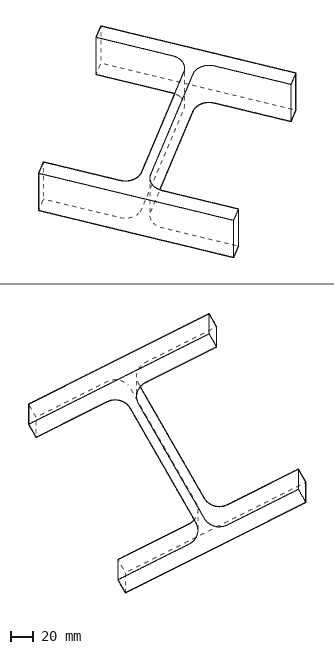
import cadquery as cq

flange_width = 180.0
section_depth = 180.0
beam_length = 50.0
flange_thickness = 14.0
web_thickness = 8.5
root_radius = 15.0

web = cq.Workplane("XY").box(web_thickness, section_depth, beam_length)

flange_offset = (section_depth - flange_thickness) / 2
flanges = (
    cq.Workplane("XY")
    .pushPoints([(0, -flange_offset), (0, flange_offset)])
    .box(flange_width, flange_thickness, beam_length)
)
beam = web.union(flanges)

root_x = web_thickness / 2
root_y = section_depth / 2 - flange_thickness
root_margin = 0.9
root_zone = cq.selectors.BoxSelector(
    (-root_x - root_margin, -root_y - root_margin, -beam_length),
    (root_x + root_margin, root_y + root_margin, beam_length),
)
result = beam.edges("|Z").edges(root_zone).fillet(root_radius)